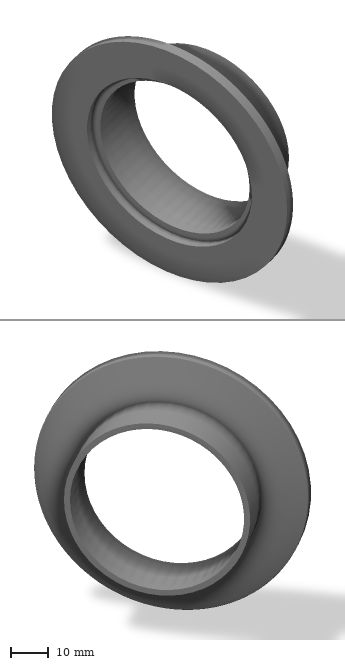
import cadquery as cq
import math

flange_diameter = 74.9
tube_diameter = 50.8
bore_diameter = 47.5
recess_diameter = 52.4
total_length = 19.1
flange_height = 6.2
recess_depth = 2.6
clamp_angle = 15.0
edge_radius = 0.4

flange_radius = flange_diameter / 2
tube_radius = tube_diameter / 2
bore_radius = bore_diameter / 2
recess_radius = recess_diameter / 2

cone_height = (flange_radius - tube_radius) * math.tan(math.radians(clamp_angle))
rim_height = flange_height - cone_height

section = (
    cq.Workplane("XY")
    .moveTo(recess_radius, 0)
    .lineTo(flange_radius, 0)
    .lineTo(flange_radius, rim_height)
    .lineTo(tube_radius, flange_height)
    .lineTo(tube_radius, total_length)
    .lineTo(bore_radius, total_length)
    .lineTo(bore_radius, recess_depth)
    .lineTo(recess_radius, recess_depth)
    .close()
)
flange = section.revolve(360, (0, 0, 0), (0, 1, 0))

largest_circles = flange.edges("%CIRCLE").edges(cq.selectors.RadiusNthSelector(-1))
result = largest_circles.edges(">Y").fillet(edge_radius)